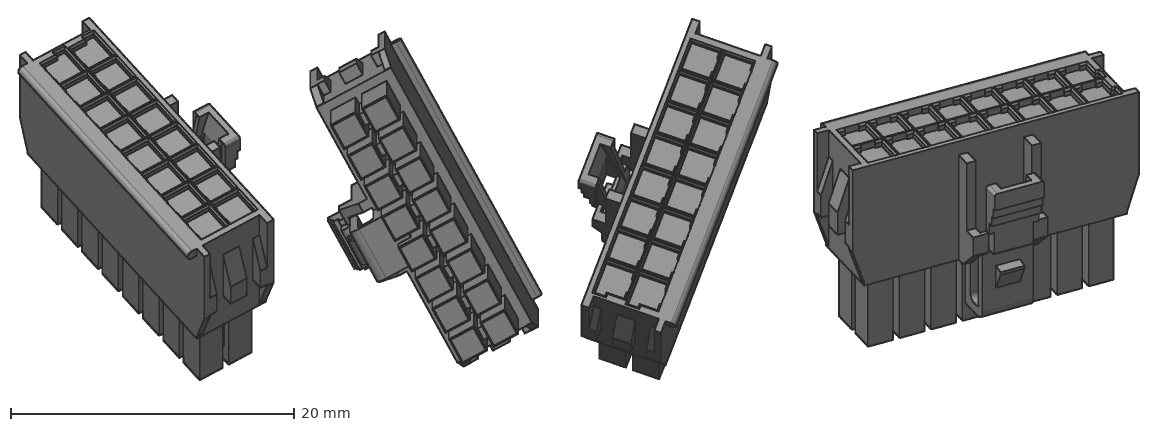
import cadquery as cq

COLUMNS = 8
ROWS = 2
PITCH = 2.5

LENGTH = 22.7
BLOCK_DEPTH = 6.0
BLOCK_HEIGHT = 9.9
END_RECESS = 0.93
END_X = LENGTH / 2 - END_RECESS
FRONT_FLANGE = 0.5
REAR_FLANGE = 0.6
TAPER_START_Z = 3.05
TAPER_END_Z = 0.23

RIB_SPANS = [(FRONT_FLANGE, 1.1), (2.27, 3.65), (4.84, BLOCK_DEPTH - REAR_FLANGE)]
RIB_BOTTOM_Z = 3.18
RIB_SLOPE_Z = 5.05
RIB_TOP_Z = 7.67

LIP_REACH = 0.8
LIP_HEIGHT = 0.8
LIP_RADIUS = 0.39

CELL_SIZE = 2.38
CELL_FRONT_ROW_Y = 1.9
CELL_DEPTH = 0.55
CELL_CHAMFER = 0.14
CELL_CHAMFER_DEPTH = 0.18
CELL_NOTCH_WIDTH = 1.11
KEY_WIDTH = 0.3
KEY_START = 0.14

TOWER_SIZE = 2.0
TOWER_HEIGHT = 5.8
TOWER_FRONT_ROW_Y = 1.73
TOWER_CHAMFER = 0.1
WEB_WIDTH = 0.9
WEB_HEIGHT = 4.1

GUARD_OUTER_X = 2.95
GUARD_INNER_X = 2.22
HOOK_INNER_X = 1.73
GUARD_Y = 7.25
HOOK_BACK_Y = 8.25
HOOK_THICKNESS = 0.35
GUARD_TOP_Z = 8.76
GUARD_STEP_Z = 3.13
GUARD_SLOPE_TOP_Z = 1.57

BEAM_HALF_WIDTH = 2.02
BEAM_INNER_Y = GUARD_Y
BEAM_OUTER_Y = 7.88
BEAM_BOTTOM_Z = -4.31
SLOT_BOTTOM_Z = -3.55
BEAM_BEND_RADIUS = 0.73
SLOT_LATCH_RADIUS = 0.27
SLOT_BODY_RADIUS = 0.52
SHOULDER_Z = 2.0

LEVER_HALF_WIDTH = 1.55
LEVER_TOP_Z = 7.25
LEVER_TOP_Y = 8.38
LEVER_BACK_Y = 8.8
LEVER_BOTTOM_Z = 1.57
LEVER_FOOT_Z = 0.86
LEVER_CORNER_RADIUS = 0.18
GRIP_HALF_WIDTH = 1.97
GRIP_BACK_Y = 9.67
GRIP_BOTTOM_Z = 3.43
GRIP_FILLET = 0.23
GRIP_STEPS = [(GRIP_BACK_Y, 5.88), (9.45, 5.1), (9.25, 4.34)]

POCKET_HALF_WIDTH = 1.2
POCKET_TOP_Y = 9.17
WINDOW_HALF_WIDTH = 1.0
WINDOW_FRONT_Y = 7.58
WINDOW_BACK_Y = 8.65

BARB_HALF_WIDTH = 0.95
BARB_TIP_Y = 8.58
BARB_TIP_TOP_Z = -0.15
BARB_TIP_BOTTOM_Z = -0.39
BARB_BOTTOM_Z = -1.86


def box(x_span, y_span, z_span):
    """Box between the given (low, high) limits."""
    size = [high - low for low, high in (x_span, y_span, z_span)]
    return cq.Workplane("XY").box(*size, centered=False).translate((x_span[0], y_span[0], z_span[0]))


def yz_prism(points, x_low, x_high):
    """Extrude a closed (Y, Z) outline between two X positions."""
    outline = cq.Workplane("YZ").workplane(offset=x_low).polyline(points).close()
    return outline.extrude(x_high - x_low)


def xz_prism(points, y_low, y_high):
    """Extrude a closed (X, Z) outline between two Y positions."""
    outline = cq.Workplane("XZ").workplane(offset=-y_low).polyline(points).close()
    return outline.extrude(y_low - y_high)


def both_sides(half):
    """Join a solid with its mirror image about the middle of the connector."""
    return half.union(half.mirror("YZ"))


def column_x(column):
    return (column - (COLUMNS - 1) / 2) * PITCH


def make_block():
    block = box((-END_X, END_X), (0, BLOCK_DEPTH), (0, BLOCK_HEIGHT))
    flange_outline = [
        (0, TAPER_END_Z),
        (END_X, TAPER_END_Z),
        (LENGTH / 2, TAPER_START_Z),
        (LENGTH / 2, BLOCK_HEIGHT),
        (0, BLOCK_HEIGHT),
    ]
    for y_low, y_high in [(0, FRONT_FLANGE), (BLOCK_DEPTH - REAR_FLANGE, BLOCK_DEPTH)]:
        block = block.union(both_sides(xz_prism(flange_outline, y_low, y_high)))
    rib_outline = [
        (0, RIB_BOTTOM_Z),
        (LENGTH / 2, RIB_BOTTOM_Z),
        (LENGTH / 2, RIB_SLOPE_Z),
        (END_X, RIB_TOP_Z),
        (0, RIB_TOP_Z),
    ]
    for y_low, y_high in RIB_SPANS:
        block = block.union(both_sides(xz_prism(rib_outline, y_low, y_high)))
    return block


def make_lip():
    lip = box((-END_X, END_X), (-LIP_REACH, FRONT_FLANGE), (BLOCK_HEIGHT - LIP_HEIGHT, BLOCK_HEIGHT))
    return lip.faces("<Y").edges("|X").fillet(LIP_RADIUS)


def cell_outline(inset, keyed):
    """Cell outline about its centre; a keyed cell is wider on the left towards the back."""
    half = CELL_SIZE / 2 - inset
    points = [(-half, -half), (half, -half), (half, half)]
    if keyed:
        key_y = KEY_START + inset
        points += [(-half - KEY_WIDTH, half), (-half - KEY_WIDTH, key_y), (-half, key_y)]
    else:
        points += [(-half, half)]
    return points


def cell_cutter(keyed):
    """Cell with a chamfered rim; its floor reaches the rim line in a notch at the front."""
    rim = cell_outline(0, keyed)
    floor = cell_outline(CELL_CHAMFER, keyed)
    top = cq.Workplane("XY").polyline(rim).close()
    chamfer = top.workplane(offset=-CELL_CHAMFER_DEPTH).polyline(floor).close().loft(ruled=True)
    well = cq.Workplane("XY").polyline(floor).close().extrude(-CELL_DEPTH)
    half_notch = CELL_NOTCH_WIDTH / 2
    notch = box((-half_notch, half_notch), (-CELL_SIZE / 2, 0), (-CELL_DEPTH, 0))
    return chamfer.union(well).union(notch)


def cut_cells(body):
    for column in range(COLUMNS):
        cutter = cell_cutter(keyed=column == 0)
        for row in range(ROWS):
            place = (column_x(column), CELL_FRONT_ROW_Y + row * PITCH, BLOCK_HEIGHT)
            body = body.cut(cutter.translate(place))
    return body


def make_towers():
    half = TOWER_SIZE / 2
    tower = box((-half, half), (-half, half), (-TOWER_HEIGHT, 0)).faces("<Z").chamfer(TOWER_CHAMFER)
    web = box((-WEB_WIDTH / 2, WEB_WIDTH / 2), (0, PITCH), (-WEB_HEIGHT, 0))
    pair = web.union(tower).union(tower.translate((0, PITCH, 0)))
    towers = pair.translate((column_x(0), TOWER_FRONT_ROW_Y, 0))
    for column in range(1, COLUMNS):
        towers = towers.union(pair.translate((column_x(column), TOWER_FRONT_ROW_Y, 0)))
    return towers


def make_guards():
    slope_end_y = HOOK_BACK_Y - GUARD_SLOPE_TOP_Z
    outline = [
        (BLOCK_DEPTH, 0),
        (slope_end_y, 0),
        (HOOK_BACK_Y, GUARD_SLOPE_TOP_Z),
        (HOOK_BACK_Y, GUARD_STEP_Z),
        (GUARD_Y, GUARD_STEP_Z),
        (GUARD_Y, GUARD_TOP_Z),
        (BLOCK_DEPTH, GUARD_TOP_Z),
    ]
    wall = yz_prism(outline, HOOK_INNER_X, GUARD_OUTER_X)
    hook_front_y = HOOK_BACK_Y - HOOK_THICKNESS
    clearance = box((HOOK_INNER_X, GUARD_INNER_X), (BLOCK_DEPTH, hook_front_y), (0, GUARD_TOP_Z))
    return both_sides(wall.cut(clearance))


def lever_front_y(z):
    """Y of the sloped front face of the lever at a given height."""
    slope = (LEVER_TOP_Y - BEAM_INNER_Y) / (LEVER_TOP_Z - LEVER_FOOT_Z)
    return BEAM_INNER_Y + slope * (z - LEVER_FOOT_Z)


def make_beam():
    root_y = TOWER_FRONT_ROW_Y + PITCH
    x_span = (-BEAM_HALF_WIDTH, BEAM_HALF_WIDTH)
    outline = [
        (root_y, BEAM_BOTTOM_Z),
        (BEAM_OUTER_Y, BEAM_BOTTOM_Z),
        (BEAM_OUTER_Y, SHOULDER_Z),
        (lever_front_y(SHOULDER_Z), SHOULDER_Z),
        (BEAM_INNER_Y, LEVER_FOOT_Z),
        (BEAM_INNER_Y, 0),
        (root_y, 0),
    ]
    beam = yz_prism(outline, *x_span)
    beam = beam.edges("|X and >Y and <Z").fillet(BEAM_BEND_RADIUS)
    slot = box(x_span, (BLOCK_DEPTH, BEAM_INNER_Y), (SLOT_BOTTOM_Z, 0))
    slot = slot.edges("|X and >Y and <Z").fillet(SLOT_LATCH_RADIUS)
    slot = slot.edges("|X and <Y and <Z").fillet(SLOT_BODY_RADIUS)
    return beam.cut(slot)


def make_lever():
    stem_outline = [
        (BEAM_INNER_Y, LEVER_FOOT_Z),
        (BEAM_OUTER_Y, LEVER_FOOT_Z),
        (BEAM_OUTER_Y, LEVER_BOTTOM_Z),
        (LEVER_BACK_Y, LEVER_BOTTOM_Z),
        (LEVER_BACK_Y, LEVER_TOP_Z),
        (LEVER_TOP_Y, LEVER_TOP_Z),
    ]
    stem = yz_prism(stem_outline, -LEVER_HALF_WIDTH, LEVER_HALF_WIDTH)
    lower_corner = cq.selectors.NearestToPointSelector((0, LEVER_BACK_Y, LEVER_BOTTOM_Z))
    stem = stem.edges("|X").edges(lower_corner).fillet(LEVER_CORNER_RADIUS)

    grip_span = (-GRIP_HALF_WIDTH, GRIP_HALF_WIDTH)
    grip = box(grip_span, (LEVER_TOP_Y, LEVER_BACK_Y), (GRIP_BOTTOM_Z, LEVER_TOP_Z))
    for step_y, step_z in GRIP_STEPS:
        grip = grip.union(box(grip_span, (LEVER_TOP_Y, step_y), (step_z, LEVER_TOP_Z)))
    top_side_edges = "(>X or <X) and >Z"
    grip = grip.edges(top_side_edges).fillet(GRIP_FILLET)

    return stem.union(grip)


def cut_pocket(latch):
    """Pocket in the front of the lever, running out at the foot of the lever."""
    pocket_outline = [
        (BEAM_INNER_Y, LEVER_FOOT_Z),
        (POCKET_TOP_Y, LEVER_TOP_Z),
        (BEAM_INNER_Y, LEVER_TOP_Z),
    ]
    return latch.cut(yz_prism(pocket_outline, -POCKET_HALF_WIDTH, POCKET_HALF_WIDTH))


def cut_window(latch):
    """Window through the lever behind the beam, with a ledge at shoulder height."""
    x_span = (-WINDOW_HALF_WIDTH, WINDOW_HALF_WIDTH)
    above_ledge = box(x_span, (WINDOW_FRONT_Y, WINDOW_BACK_Y), (SHOULDER_Z, LEVER_TOP_Z))
    behind_beam = box(x_span, (BEAM_OUTER_Y, WINDOW_BACK_Y), (0, SHOULDER_Z))
    return latch.cut(above_ledge).cut(behind_beam)


def make_barb():
    outline = [
        (BEAM_INNER_Y, 0),
        (BEAM_OUTER_Y, 0),
        (BARB_TIP_Y, BARB_TIP_TOP_Z),
        (BARB_TIP_Y, BARB_TIP_BOTTOM_Z),
        (BEAM_OUTER_Y, BARB_BOTTOM_Z),
        (BEAM_INNER_Y, BARB_BOTTOM_Z),
    ]
    return yz_prism(outline, -BARB_HALF_WIDTH, BARB_HALF_WIDTH)


housing = cut_cells(make_block().union(make_lip()))
latch = cut_pocket(make_beam().union(make_lever()))
latch = cut_window(latch).union(make_barb())
result = housing.union(make_towers()).union(make_guards()).union(latch)